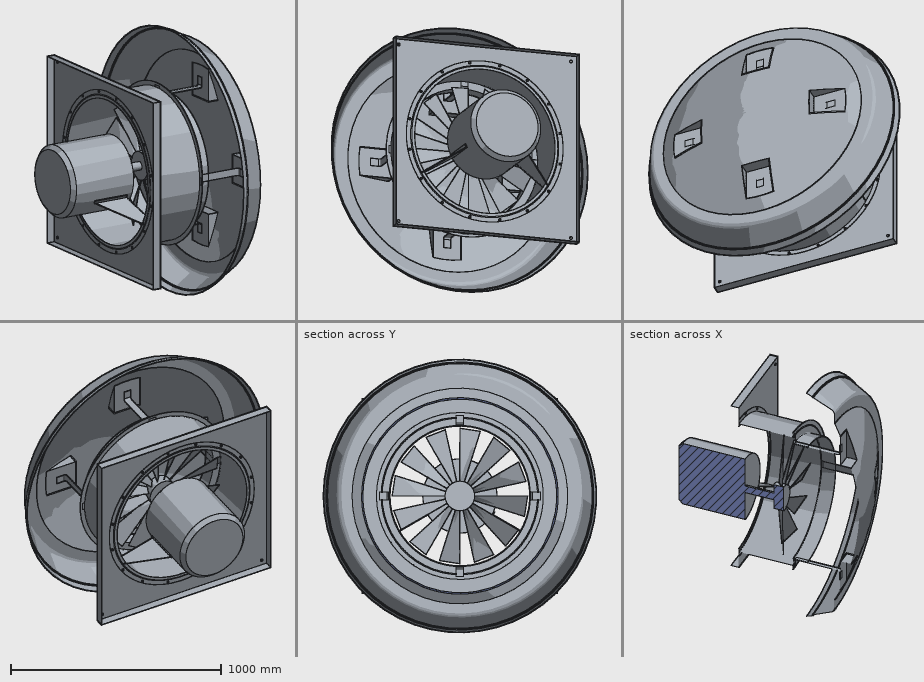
import cadquery as cq
import math


FLANGE_SHEET = 2.0
AXIS = ((0, 0, 0), (0, 1, 0))
QUARTERS = [0, 90, 180, 270]

TRAY_SIDE = 928.0
TRAY_DEPTH = 42.0
TRAY_SHEET = 3.0
TRAY_OPENING_RADIUS = 355.0
TRAY_HOLE_OFFSET = 435.0
TRAY_HOLE_RADIUS = 6.0

CASING_RADIUS = 375.0
CASING_WALL = 5.0
FLANGE_RADIUS = 396.0
CASING_END = 321.0
BOLT_COUNT = 16
BOLT_CIRCLE_RADIUS = 387.0
BOLT_HOLE_RADIUS = 5.0
NOZZLE_RADIUS = 335.0
NOZZLE_WALL = 4.0
NOZZLE_END = 396.0
NOZZLE_START = CASING_END
NOZZLE_BEND = 3.0

MOTOR_RADIUS = 177.0
MOTOR_FRONT = -270.0
MOTOR_BACK = 74.0
MOTOR_CHAMFER = 21.0
SHAFT_RADIUS = 21.0
GUSSET_ANGLES = [210, 330]
GUSSET_THICKNESS = 5.0
GUSSET_FRONT = -135.0
GUSSET_BACK = 47.0
GUSSET_OUTER_FRONT = 48.0
GUSSET_OUTER_BACK = 98.0
GUSSET_TAB_WIDTH = 17.0
GUSSET_TAB_THICKNESS = 5.0
MOTOR_OVERLAP = 3.0

HUB_RADIUS = 70.0
HUB_FRONT = 222.0
HUB_LENGTH = 52.0
BLADE_COUNT = 12
BLADE_TIP_RADIUS = 322.0
BLADE_SWEEP = 17.6
BLADE_ROOT_DEPTH = 26.0
BLADE_TIP_DEPTH = 39.0
BLADE_CENTRE_Y = 252.0
BLADE_THICKNESS = 3.0
HUB_OVERLAP = 6.0

CANOPY_SHEET = 4.0
DOME_APEX = 670.0
DOME_MID_RADIUS = 261.0
DOME_MID_Y = 630.0
DOME_BASE_RADIUS = 512.0
CANOPY_TOP = 540.0
SHOULDER_RADIUS = 580.0
SHOULDER_BEND = 31.0
SKIRT_RADIUS = 635.0
SKIRT_END = 420.0
LIP_RADIUS = 650.0
LIP_END = 391.0
LIP_START = 425.0
LIP_START_RADIUS = 637.0
LIP_WALL = 4.0
LIP_LAP = 9.0

POCKET_WIDTH = 144.0
POCKET_INNER_RADIUS = 277.0
POCKET_FLOOR = 565.0
STRAP_WIDTH = 36.0
STRAP_THICKNESS = 4.0
STRAP_RADIUS = 334.0
STRAP_LOWER_FOOT = 48.0
STRAP_UPPER_FOOT = 53.0
STRAP_BEND = 12.0


def turned(body, angle):
    """Turn a body about the fan axis, counter-clockwise seen from -Y."""
    return body.rotate(*AXIS, -angle)


def disc(radius, start, length):
    return cq.Workplane("XZ", origin=(0, start, 0)).circle(radius).extrude(-length)


def ring(outer, inner, start, length):
    return disc(outer, start, length).cut(disc(inner, start, length))


def block(x_range, y_range, z_range):
    size = [high - low for low, high in (x_range, y_range, z_range)]
    corner = (x_range[0], y_range[0], z_range[0])
    return cq.Workplane("XY").box(*size, centered=False).translate(corner)


def make_tray():
    plate_front = TRAY_DEPTH - TRAY_SHEET
    plate = cq.Workplane("XZ").rect(TRAY_SIDE, TRAY_SIDE).extrude(-TRAY_DEPTH)
    inner_side = TRAY_SIDE - 2 * TRAY_SHEET
    hollow = cq.Workplane("XZ").rect(inner_side, inner_side).extrude(-plate_front)
    corner_holes = (
        cq.Workplane("XZ")
        .rect(2 * TRAY_HOLE_OFFSET, 2 * TRAY_HOLE_OFFSET, forConstruction=True)
        .vertices()
        .circle(TRAY_HOLE_RADIUS)
        .extrude(-TRAY_DEPTH)
    )
    opening = disc(TRAY_OPENING_RADIUS, 0, TRAY_DEPTH)
    return plate.cut(hollow).cut(corner_holes).cut(opening)


def make_casing():
    inner = CASING_RADIUS - CASING_WALL
    tube = ring(CASING_RADIUS, inner, TRAY_DEPTH, CASING_END - TRAY_DEPTH)
    front_flange = ring(FLANGE_RADIUS, inner, TRAY_DEPTH, FLANGE_SHEET)
    back_flange = ring(FLANGE_RADIUS, inner, CASING_END - FLANGE_SHEET, FLANGE_SHEET)
    return tube.union(front_flange).union(back_flange)


def make_bolt_holes():
    """Holes through the tray plate and the front flange of the casing."""
    return (
        cq.Workplane("XZ")
        .polarArray(BOLT_CIRCLE_RADIUS, 180 / BOLT_COUNT, 360, BOLT_COUNT)
        .circle(BOLT_HOLE_RADIUS)
        .extrude(-(TRAY_DEPTH + FLANGE_SHEET))
    )


def make_nozzle():
    """Straight outlet tube with a flange that is bolted to the casing."""
    inner = NOZZLE_RADIUS - NOZZLE_WALL
    flange_back = NOZZLE_START + FLANGE_SHEET
    return (
        cq.Workplane("XY")
        .moveTo(inner, NOZZLE_START)
        .lineTo(FLANGE_RADIUS, NOZZLE_START)
        .lineTo(FLANGE_RADIUS, flange_back)
        .lineTo(NOZZLE_RADIUS + NOZZLE_BEND, flange_back)
        .radiusArc((NOZZLE_RADIUS, flange_back + NOZZLE_BEND), NOZZLE_BEND)
        .lineTo(NOZZLE_RADIUS, NOZZLE_END)
        .lineTo(inner, NOZZLE_END)
        .close()
        .revolve(360, *AXIS)
    )


def make_motor():
    body = disc(MOTOR_RADIUS, MOTOR_FRONT, MOTOR_BACK - MOTOR_FRONT)
    body = body.faces("<Y").chamfer(MOTOR_CHAMFER)
    shaft = disc(SHAFT_RADIUS, MOTOR_BACK, HUB_FRONT - MOTOR_BACK)
    return body.union(shaft)


def make_gusset():
    """Radial plate from the motor to the casing wall."""
    root = MOTOR_RADIUS - MOTOR_OVERLAP
    casing = CASING_RADIUS - CASING_WALL / 2
    return (
        cq.Workplane("XY")
        .polyline([
            (root, GUSSET_FRONT),
            (root, GUSSET_BACK),
            (casing, GUSSET_OUTER_BACK),
            (casing, GUSSET_OUTER_FRONT),
        ])
        .close()
        .extrude(GUSSET_THICKNESS / 2, both=True)
    )


def make_gusset_tab(side):
    """Strip lying on the motor beside a gusset; side is +1 or -1 around the axis."""
    z_ends = sorted((0, side * GUSSET_TAB_WIDTH))
    x_range = (MOTOR_RADIUS - MOTOR_OVERLAP, MOTOR_RADIUS + GUSSET_TAB_THICKNESS)
    return block(x_range, (GUSSET_FRONT, GUSSET_BACK), z_ends)


def blade_section(radius, depth):
    """Thin rectangular cross-section of a blade, in a plane square to its centre line."""
    half_sweep = math.radians(BLADE_SWEEP / 2)
    width = 2 * radius * math.sin(half_sweep)
    chord = math.hypot(width, depth)
    pitch = math.degrees(math.atan2(width, -depth))
    return (
        cq.Workplane("YZ", origin=(radius * math.cos(half_sweep), BLADE_CENTRE_Y, 0))
        .transformed(rotate=(0, 0, pitch))
        .rect(chord, BLADE_THICKNESS)
        .wires()
        .val()
    )


def make_blade():
    """Twisted blade whose long edges are radial, so it grows steeper towards the hub."""
    root = blade_section(HUB_RADIUS - HUB_OVERLAP, BLADE_ROOT_DEPTH)
    tip = blade_section(BLADE_TIP_RADIUS, BLADE_TIP_DEPTH)
    return cq.Workplane("XY").add(cq.Solid.makeLoft([root, tip], True))


def make_fan():
    fan = disc(HUB_RADIUS, HUB_FRONT, HUB_LENGTH)
    blade = make_blade()
    for index in range(BLADE_COUNT):
        fan = fan.union(turned(blade, index * 360 / BLADE_COUNT + BLADE_SWEEP / 2))
    return fan


def make_canopy_core():
    """Solid bounded by the outside of the dome, flat shoulder and conical skirt."""
    drop = CANOPY_TOP - SKIRT_END
    spread = SKIRT_RADIUS - SHOULDER_RADIUS
    slant = math.hypot(drop, spread)
    tangent = SHOULDER_BEND * math.tan(math.atan2(drop, spread) / 2)
    bend_end = (
        SHOULDER_RADIUS + tangent * spread / slant,
        CANOPY_TOP - tangent * drop / slant,
    )
    return (
        cq.Workplane("XY")
        .moveTo(0, SKIRT_END)
        .lineTo(0, DOME_APEX)
        .threePointArc((DOME_MID_RADIUS, DOME_MID_Y), (DOME_BASE_RADIUS, CANOPY_TOP))
        .lineTo(SHOULDER_RADIUS - tangent, CANOPY_TOP)
        .radiusArc(bend_end, SHOULDER_BEND)
        .lineTo(SKIRT_RADIUS, SKIRT_END)
        .close()
        .revolve(360, *AXIS)
    )


def make_lip():
    """Outer rim ring that laps over the end of the skirt."""
    return (
        cq.Workplane("XY")
        .polyline([
            (LIP_START_RADIUS - LIP_LAP, LIP_START),
            (LIP_START_RADIUS, LIP_START),
            (LIP_RADIUS, LIP_END),
            (LIP_RADIUS - LIP_WALL, LIP_END),
            (SKIRT_RADIUS, SKIRT_END),
        ])
        .close()
        .revolve(360, *AXIS)
    )


def make_pocket_block(wall):
    """Space of one pocket, shrunk by a wall on its floor, inner end and sides."""
    half = POCKET_WIDTH / 2 - wall
    return block(
        (POCKET_INNER_RADIUS + wall, DOME_BASE_RADIUS),
        (POCKET_FLOOR + wall, DOME_APEX),
        (-half, half),
    )


def make_canopy():
    core = make_canopy_core()
    canopy = core.cut(core.translate((0, -CANOPY_SHEET, 0)))
    pocket = make_pocket_block(0)
    pocket_walls = pocket.cut(make_pocket_block(CANOPY_SHEET)).intersect(core)
    for angle in QUARTERS:
        canopy = canopy.cut(turned(pocket, angle)).union(turned(pocket_walls, angle))
    return canopy.union(make_lip())


def make_strap():
    """Bent strap from the nozzle flange to a pocket floor, both feet turned outward."""
    bottom = NOZZLE_START + FLANGE_SHEET
    top = POCKET_FLOOR
    inner = STRAP_RADIUS + STRAP_THICKNESS
    lower_tip = STRAP_RADIUS + STRAP_LOWER_FOOT
    upper_tip = STRAP_RADIUS + STRAP_UPPER_FOOT
    strap = (
        cq.Workplane("XY")
        .polyline([
            (lower_tip, bottom),
            (STRAP_RADIUS, bottom),
            (STRAP_RADIUS, top),
            (upper_tip, top),
            (upper_tip, top - STRAP_THICKNESS),
            (inner, top - STRAP_THICKNESS),
            (inner, bottom + STRAP_THICKNESS),
            (lower_tip, bottom + STRAP_THICKNESS),
        ])
        .close()
        .extrude(STRAP_WIDTH / 2, both=True)
    )
    strap = strap.edges("|Z and <X").fillet(STRAP_BEND)
    inside_corners = cq.selectors.BoxSelector(
        (inner - STRAP_THICKNESS / 2, bottom, -STRAP_WIDTH), (inner + STRAP_THICKNESS / 2, top, STRAP_WIDTH)
    )
    return strap.edges("|Z").edges(inside_corners).fillet(STRAP_BEND - STRAP_THICKNESS)


result = make_tray().union(make_casing()).cut(make_bolt_holes())
result = result.union(make_nozzle()).union(make_motor())

gusset = make_gusset()
for gusset_angle, tab_side in zip(GUSSET_ANGLES, (-1, 1)):
    result = result.union(turned(gusset.union(make_gusset_tab(tab_side)), gusset_angle))

result = result.union(make_fan()).union(make_canopy())

strap = make_strap()
for strap_angle in QUARTERS:
    result = result.union(turned(strap, strap_angle))